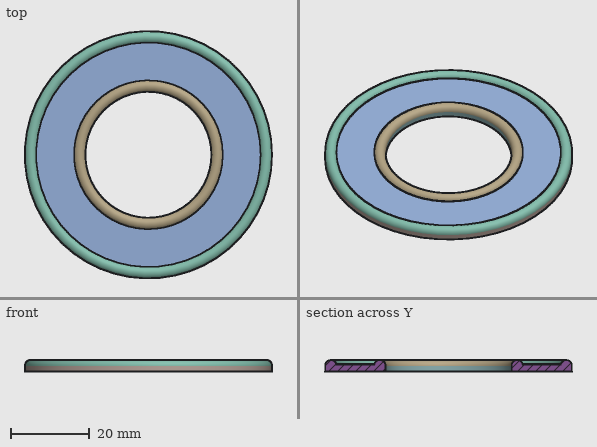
import cadquery as cq
import math

outer_diameter = 63
bore_diameter = 32.0
height = 3.0
bead_width = 3.0
web_height = 1.8
step_height = 0.2

crown_radius = bead_width / 2
crown_base = height - crown_radius
step_top = web_height + step_height
crown_half_width_at_step = math.sqrt(crown_radius**2 - (step_top - crown_base)**2)

outer_radius = outer_diameter / 2
bore_radius = bore_diameter / 2
rim_bead_center = outer_radius - crown_radius
bore_bead_center = bore_radius + crown_radius
rim_step_radius = rim_bead_center - crown_half_width_at_step
bore_step_radius = bore_bead_center + crown_half_width_at_step

ring_section = (
    cq.Workplane("XZ")
    .moveTo(bore_radius, 0)
    .lineTo(outer_radius, 0)
    .lineTo(outer_radius, crown_base)
    .threePointArc((rim_bead_center, height), (rim_step_radius, step_top))
    .lineTo(rim_step_radius, web_height)
    .lineTo(bore_step_radius, web_height)
    .lineTo(bore_step_radius, step_top)
    .threePointArc((bore_bead_center, height), (bore_radius, crown_base))
    .close()
)

result = ring_section.revolve(360, (0, 0, 0), (0, 1, 0))